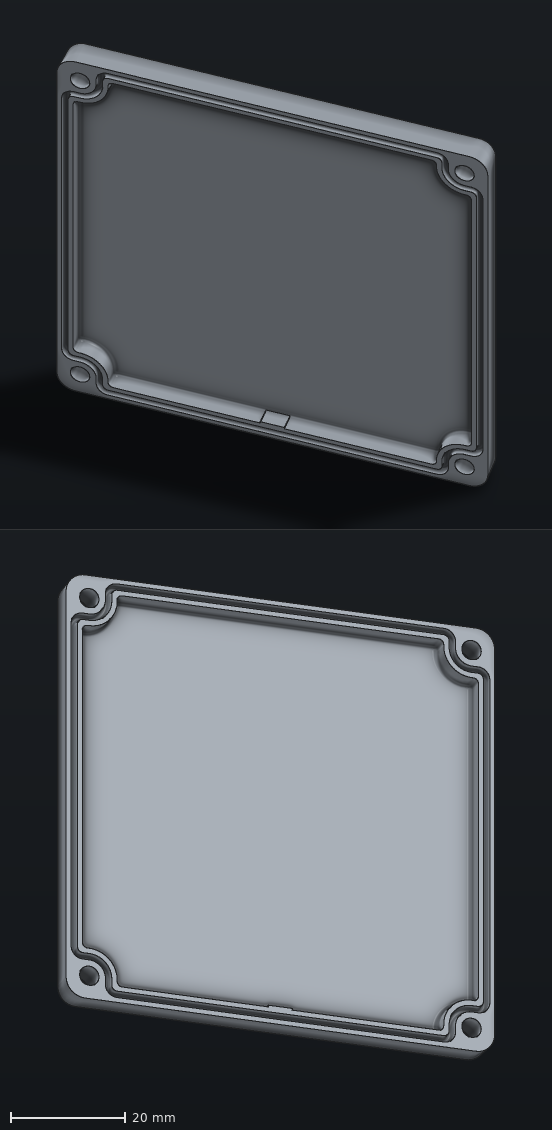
import cadquery as cq
import math

side = 80.0
depth = 6.0
outer_corner_radius = 3.5
back_edge_radius = 1.5
draft_angle = 2.0
floor_thickness = 2.6

hole_diameter = 3.6
hole_inset = 4.3

groove_width = 1.2
groove_depth = 1.6
groove_inset = 1.5
groove_lobe_radius = 3.6
groove_corner_radius = 1.6

cavity_inset = 3.0
cavity_lobe_radius = 5.2
cavity_corner_radius = 1.0
floor_fillet = 0.8

rib_length = 4.5
rib_height = 0.3

hole_spacing = side - 2 * hole_inset
cavity_depth = depth - floor_thickness
OPEN_FACE = cq.Plane(origin=(0, 0, 0), xDir=(1, 0, 0), normal=(0, 1, 0))


def quarter_turned(x, y, quarters):
    """Point turned clockwise about the middle by a number of quarter turns."""
    for _ in range(quarters):
        x, y = y, -x
    return x, y


def notched_square(inset, lobe_radius, corner_radius):
    """Closed outline parallel to the sides that bends inward around the four holes."""
    half = side / 2 - inset
    centre = hole_spacing / 2
    lobe = centre - lobe_radius
    lobe_middle = centre - lobe_radius * math.sqrt(0.5)
    corner = half - corner_radius
    corner_start = lobe - corner_radius
    corner_middle = corner_radius * math.sqrt(0.5)

    outline = cq.Workplane(OPEN_FACE).moveTo(-corner_start, half)
    for quarter in range(4):
        outline = (
            outline.lineTo(*quarter_turned(corner_start, half, quarter))
            .threePointArc(
                quarter_turned(corner_start + corner_middle, corner + corner_middle, quarter),
                quarter_turned(lobe, corner, quarter),
            )
            .lineTo(*quarter_turned(lobe, centre, quarter))
            .threePointArc(
                quarter_turned(lobe_middle, lobe_middle, quarter),
                quarter_turned(centre, lobe, quarter),
            )
            .lineTo(*quarter_turned(corner, lobe, quarter))
            .threePointArc(
                quarter_turned(corner + corner_middle, corner_start + corner_middle, quarter),
                quarter_turned(half, corner_start, quarter),
            )
        )
    return outline.close()


def make_body():
    """Square block with rounded corners, drafted sides and a rounded back edge."""
    outline = cq.Sketch().rect(side, side).vertices().fillet(outer_corner_radius)
    block = cq.Workplane(OPEN_FACE).placeSketch(outline).extrude(depth, taper=draft_angle)
    return block.faces(">Y").edges().fillet(back_edge_radius)


def make_cavity():
    """Volume of the recess, with its floor edge rounded."""
    outline = notched_square(cavity_inset, cavity_lobe_radius, cavity_corner_radius)
    recess = outline.extrude(cavity_depth, taper=draft_angle)
    return recess.faces(">Y").edges().fillet(floor_fillet)


def make_groove():
    """Volume of the sealing groove, its U-shaped section swept along the centreline."""
    path = notched_square(groove_inset, groove_lobe_radius, groove_corner_radius)
    bottom_radius = groove_width / 2
    wall_depth = groove_depth - bottom_radius
    section = (
        cq.Workplane("YZ")
        .center(0, side / 2 - groove_inset)
        .moveTo(0, -bottom_radius)
        .lineTo(wall_depth, -bottom_radius)
        .threePointArc((groove_depth, 0), (wall_depth, bottom_radius))
        .lineTo(0, bottom_radius)
        .close()
    )
    return section.sweep(path)


def make_rib():
    """Low rib from the cavity floor to the rim, sunk into the lower wall."""
    overlap = (cavity_inset - groove_inset - groove_width / 2) / 2
    return (
        cq.Workplane(OPEN_FACE)
        .center(0, side / 2 - cavity_inset + (overlap - rib_height) / 2)
        .rect(rib_length, rib_height + overlap)
        .extrude(cavity_depth)
    )


def make_holes():
    """Four through holes, one near each corner."""
    return (
        cq.Workplane(OPEN_FACE)
        .rect(hole_spacing, hole_spacing, forConstruction=True)
        .vertices()
        .circle(hole_diameter / 2)
        .extrude(depth)
    )


result = make_body().cut(make_cavity()).cut(make_groove()).union(make_rib()).cut(make_holes())